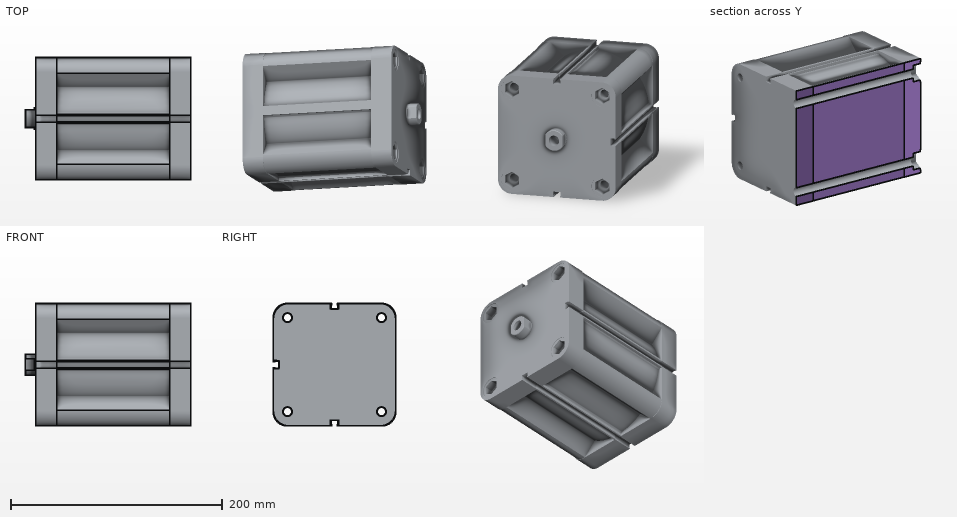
import cadquery as cq
import math


SIDE = 116.0
HALF_SIDE = SIDE / 2
CAP_LENGTH = 20.0
BARREL_LENGTH = 107.0
FRONT_CAP_START = 0.0
BARREL_START = FRONT_CAP_START + CAP_LENGTH
REAR_CAP_START = BARREL_START + BARREL_LENGTH
CUT_MARGIN = 2.0

SCREW_OFFSET = 44.5
CAP_CORNER_RADIUS = HALF_SIDE - SCREW_OFFSET
SCREW_HOLE_DIAMETER = 8.4
HEX_ACROSS_FLATS = 14.0
HEX_DEPTH = 8.0
SPOTFACE_DIAMETER = 20.5
SPOTFACE_DEPTH = 0.5
SCREW_CENTRES = [(y, z) for y in (-SCREW_OFFSET, SCREW_OFFSET) for z in (-SCREW_OFFSET, SCREW_OFFSET)]

SLOT_ANGLES = (0, 90, 180)
SLOT_DEPTH = 5.3
SLOT_LIP = 1.2
SLOT_UNDERCUT = 0.6
CAP_SLOT_OPENING = 6.4
BARREL_SLOT_OPENING = 5.4
BARREL_SLOT_CHAMFER = 0.25

SHELL_RADIUS = 54.0
FLUTE_EDGE = 43.0
BARREL_CORNER_RADIUS = HALF_SIDE - FLUTE_EDGE
FLUTE_FILLET = 0.8
RIB_HALF_WIDTH = 4.4
RIB_BASE_CHAMFER = 1.5
FACE_ANGLES = (0, 90, 180, 270)

ROD_DIAMETER = 20.2
ROD_PROJECTION = 10.0
ROD_CHAMFER = 0.5
ROD_ACROSS_FLATS = 17.0
ROD_COLLAR = 1.2
ROD_HOLE_DIAMETER = 10.2
ROD_HOLE_DEPTH = 20.0
DRILL_POINT_ANGLE = 118.0


def section_at(x):
    """Workplane across the axis: local x is Y, local y is Z, extrusion runs along +X."""
    return cq.Workplane("YZ", origin=(x, 0, 0))


def turn(shape, angle):
    """Rotate a shape about the cylinder axis."""
    return shape.rotate((0, 0, 0), (1, 0, 0), angle)


def rounded_block(start, length, corner_radius):
    """Square block with rounded corners and four screw holes right through it."""
    block = section_at(start).rect(SIDE, SIDE).extrude(length).edges("|X").fillet(corner_radius)
    holes = section_at(start).pushPoints(SCREW_CENTRES).circle(SCREW_HOLE_DIAMETER / 2).extrude(length)
    return block.cut(holes)


def cut_sensor_slots(body, start, length, opening):
    """Cut an undercut slot along the middle of three faces."""
    floor = HALF_SIDE - SLOT_DEPTH
    lip_bottom = HALF_SIDE - SLOT_LIP
    mouth_height = SLOT_DEPTH + CUT_MARGIN
    mouth = section_at(start).center(0, floor + mouth_height / 2).rect(opening, mouth_height).extrude(length)
    chamber_width = opening + 2 * SLOT_UNDERCUT
    chamber_height = lip_bottom - floor
    chamber = (
        section_at(start)
        .center(0, floor + chamber_height / 2)
        .rect(chamber_width, chamber_height)
        .extrude(length)
    )
    slot = mouth.union(chamber)
    for angle in SLOT_ANGLES:
        body = body.cut(turn(slot, angle))
    return body


def make_cap(start):
    cap = rounded_block(start, CAP_LENGTH, CAP_CORNER_RADIUS)
    return cut_sensor_slots(cap, start, CAP_LENGTH, CAP_SLOT_OPENING)


def make_front_cap():
    """Cap with hexagonal screw recesses, shallow spotfaces and the rod bore."""
    face = section_at(FRONT_CAP_START)
    spotfaces = face.pushPoints(SCREW_CENTRES).circle(SPOTFACE_DIAMETER / 2).extrude(SPOTFACE_DEPTH)
    rod_bore = face.circle(ROD_DIAMETER / 2).extrude(CAP_LENGTH)
    cap = make_cap(FRONT_CAP_START).cut(spotfaces).cut(rod_bore)

    hex_diameter = HEX_ACROSS_FLATS / math.cos(math.pi / 6)
    hexagon = turn(face.polygon(6, hex_diameter).extrude(SPOTFACE_DEPTH + HEX_DEPTH), 90)
    for y, z in SCREW_CENTRES:
        cap = cap.cut(hexagon.translate((0, y, z)))
    return cap


def make_half_flute():
    """Cutter on the +Y half of the +Z face: rib side, base chamfer, round shell, 45 degree flank."""

    def shell_height(offset):
        return math.sqrt(SHELL_RADIUS**2 - offset**2)

    rib_foot = RIB_HALF_WIDTH + RIB_BASE_CHAMFER
    rib_foot_height = shell_height(rib_foot)

    flank_rise = HALF_SIDE - FLUTE_EDGE
    corner = (math.sqrt(2 * SHELL_RADIUS**2 - flank_rise**2) - flank_rise) / 2
    corner_height = corner + flank_rise
    arc_middle = (rib_foot + corner) / 2

    flute = (
        section_at(BARREL_START)
        .moveTo(RIB_HALF_WIDTH, HALF_SIDE + CUT_MARGIN)
        .lineTo(RIB_HALF_WIDTH, rib_foot_height + RIB_BASE_CHAMFER)
        .lineTo(rib_foot, rib_foot_height)
        .threePointArc((arc_middle, shell_height(arc_middle)), (corner, corner_height))
        .lineTo(FLUTE_EDGE + CUT_MARGIN, HALF_SIDE + CUT_MARGIN)
        .close()
        .extrude(BARREL_LENGTH)
    )
    barrel_middle = BARREL_START + BARREL_LENGTH / 2
    for y, z in [(rib_foot, rib_foot_height), (corner, corner_height)]:
        shell_edge = cq.selectors.NearestToPointSelector((barrel_middle, y, z))
        flute = flute.edges(shell_edge).fillet(FLUTE_FILLET)
    return flute


def chamfer_slot_mouths(body):
    """Bevel the mouth edges of the barrel slots."""
    half_opening = BARREL_SLOT_OPENING / 2
    bevel = (
        section_at(BARREL_START)
        .moveTo(-half_opening - BARREL_SLOT_CHAMFER, HALF_SIDE)
        .lineTo(-half_opening, HALF_SIDE - BARREL_SLOT_CHAMFER)
        .lineTo(half_opening, HALF_SIDE - BARREL_SLOT_CHAMFER)
        .lineTo(half_opening + BARREL_SLOT_CHAMFER, HALF_SIDE)
        .close()
        .extrude(BARREL_LENGTH)
    )
    for angle in SLOT_ANGLES:
        body = body.cut(turn(bevel, angle))
    return body


def make_barrel():
    barrel = rounded_block(BARREL_START, BARREL_LENGTH, BARREL_CORNER_RADIUS)
    half_flute = make_half_flute()
    opposite_half = half_flute.mirror("XZ")
    for angle in FACE_ANGLES:
        barrel = barrel.cut(turn(half_flute, angle)).cut(turn(opposite_half, angle))
    barrel = cut_sensor_slots(barrel, BARREL_START, BARREL_LENGTH, BARREL_SLOT_OPENING)
    return chamfer_slot_mouths(barrel)


def make_rod():
    """Rod through the front cap, with two wrench flats and a drilled end hole."""
    tip = FRONT_CAP_START - ROD_PROJECTION
    rod = section_at(tip).circle(ROD_DIAMETER / 2).extrude(ROD_PROJECTION + CAP_LENGTH)
    rod = rod.faces("<X").chamfer(ROD_CHAMFER)

    flat_length = ROD_PROJECTION - ROD_COLLAR
    outside_flats = (
        section_at(tip)
        .rect(2 * ROD_DIAMETER, 2 * ROD_DIAMETER)
        .rect(ROD_ACROSS_FLATS, ROD_DIAMETER + CUT_MARGIN)
        .extrude(flat_length)
    )

    hole_radius = ROD_HOLE_DIAMETER / 2
    point_length = hole_radius / math.tan(math.radians(DRILL_POINT_ANGLE / 2))
    end_hole = (
        cq.Workplane("XY", origin=(tip, 0, 0))
        .lineTo(0, hole_radius)
        .lineTo(ROD_HOLE_DEPTH, hole_radius)
        .lineTo(ROD_HOLE_DEPTH + point_length, 0)
        .close()
        .revolve(360, (0, 0, 0), (1, 0, 0))
    )
    return rod.cut(outside_flats).cut(end_hole)


front_cap = make_front_cap()
barrel = make_barrel()
rear_cap = make_cap(REAR_CAP_START)
rod = make_rod()

result = cq.Compound.makeCompound([front_cap.val(), barrel.val(), rear_cap.val(), rod.val()])